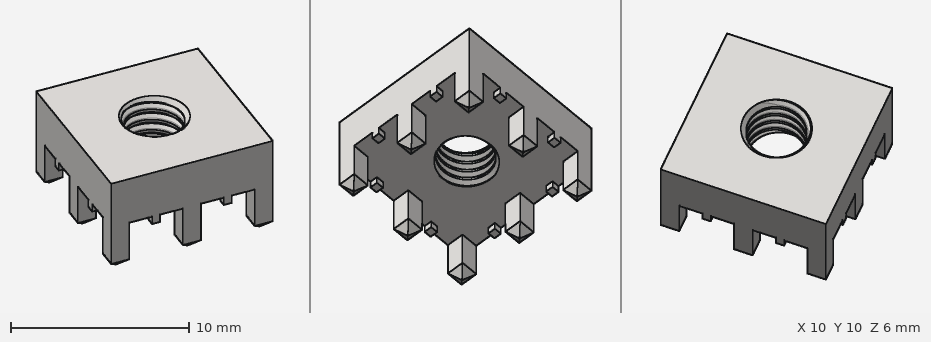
import cadquery as cq
import math

plate_side = 10.0
plate_height = 3.0

pin_side = 1.13
pin_length = 3.0
pin_tip_flat = 0.1
pin_tip_height = (pin_side - pin_tip_flat) / 2
pin_spacing = (plate_side - pin_side) / 2

foot_side = 0.5
foot_height = 0.5
foot_spacing = pin_spacing / 2
foot_edge_offset = (plate_side - foot_side) / 2

thread_pitch = 0.7
bore_radius = 1.71
thread_radius = 2.0
countersink_radius = 2.0
crest_width = 0.2
crest_bevel = 0.07
root_width = 0.1
lower_flank_angle = 36
groove_start = -0.58

plate_bottom = pin_length
plate_top = plate_bottom + plate_height


def make_square_block(side, height, x, y, bottom):
    block = cq.Workplane("XY").box(side, side, height, centered=(True, True, False))
    return block.translate((x, y, bottom))


def make_pin(x, y):
    pin = make_square_block(pin_side, pin_length, x, y, 0)
    return pin.faces("<Z").chamfer(pin_tip_height)


def make_foot(x, y):
    return make_square_block(foot_side, foot_height, x, y, plate_bottom - foot_height)


def make_thread_groove():
    """Right-handed helical cutter that runs past both faces of the plate."""
    overlap = crest_width / 4
    bevel_radius = bore_radius + crest_bevel
    mouth_half = (thread_pitch - crest_width) / 2
    bevel_half = mouth_half - crest_bevel
    flank_depth = thread_radius - bevel_radius
    root_bottom = -bevel_half + flank_depth * math.tan(math.radians(lower_flank_angle))
    root_top = root_bottom + root_width
    upper_slope = (mouth_half - root_top) / (thread_radius - bore_radius)
    start = plate_bottom + groove_start
    length = plate_height + 2 * thread_pitch
    path = cq.Workplane(cq.Wire.makeHelix(thread_pitch, length, bore_radius)).translate((0, 0, start))
    profile = cq.Workplane("XZ", origin=(0, 0, start)).polyline([
        (bore_radius - overlap, mouth_half + upper_slope * overlap),
        (thread_radius, root_top),
        (thread_radius, root_bottom),
        (bevel_radius, -bevel_half),
        (bore_radius - overlap, -mouth_half - overlap),
    ]).close()
    return profile.sweep(path, isFrenet=True)


def make_countersink():
    """45 degree cone that opens the bore to the countersink radius at the top face."""
    overrun = 0.1
    depth = countersink_radius - bore_radius
    base = cq.Vector(0, 0, plate_top - depth - overrun)
    small_radius = bore_radius - overrun
    large_radius = countersink_radius + overrun
    cone = cq.Solid.makeCone(small_radius, large_radius, depth + 2 * overrun, pnt=base)
    return cq.Workplane(cone)


bore = cq.Workplane("XY").circle(bore_radius).extrude(plate_top)
plate = make_square_block(plate_side, plate_height, 0, 0, plate_bottom)
result = plate.cut(make_thread_groove()).cut(bore).cut(make_countersink())

for x in (-pin_spacing, 0, pin_spacing):
    for y in (-pin_spacing, 0, pin_spacing):
        if x or y:
            result = result.union(make_pin(x, y))

for along in (-foot_spacing, foot_spacing):
    for edge in (-foot_edge_offset, foot_edge_offset):
        result = result.union(make_foot(along, edge))
        result = result.union(make_foot(edge, along))